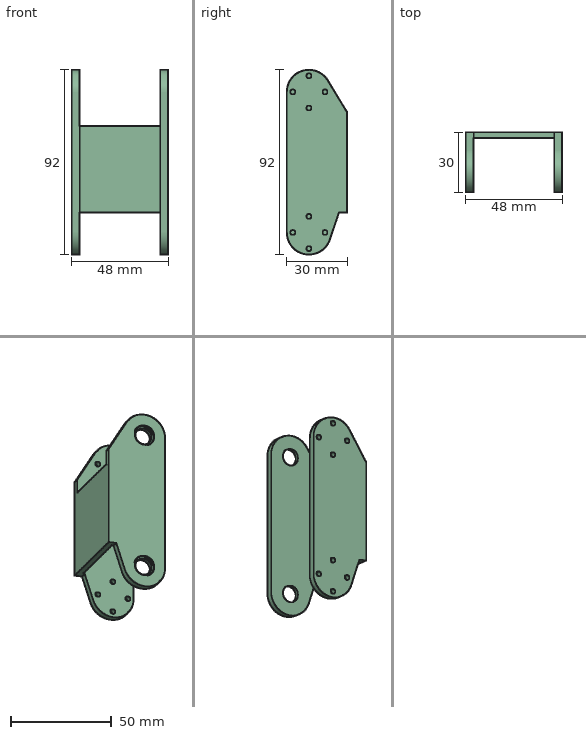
import cadquery as cq
import math

width = 48.0
depth = 30.0
height = 92.0

plate_thickness = 4.0
end_radius = 11.0
shoulder_inset = 21.0
foot_length = 4.0

web_thickness = 3.0
web_bottom_inset = shoulder_inset
web_top_inset = 28.0

bore_diameter = 8.5
counterbore_diameter = 10.5
counterbore_depth = 1.5

screw_diameter = 2.5
screw_circle_diameter = 16.0
screw_count = 4

pivot_z = height / 2 - end_radius
front_y = -end_radius
rear_y = front_y + depth
outer_x = width / 2
inner_x = outer_x - plate_thickness
corner_top_z = height / 2 - shoulder_inset
corner_bottom_z = -height / 2 + shoulder_inset


def tangent_point(corner_y, corner_z, center_z, side):
    """Point where a line from the corner touches the end arc; side is +1 (top) or -1 (bottom)."""
    offset_z = corner_z - center_z
    distance = math.hypot(corner_y, offset_z)
    angle = math.atan2(offset_z, corner_y) + side * math.acos(end_radius / distance)
    return (end_radius * math.cos(angle), center_z + end_radius * math.sin(angle))


def side_plate(start_x):
    """Plate with rounded ends and sloped rear flanks, extending from start_x towards +X."""
    foot_y = rear_y - foot_length
    top_tangent = tangent_point(rear_y, corner_top_z, pivot_z, 1)
    bottom_tangent = tangent_point(foot_y, corner_bottom_z, -pivot_z, -1)
    return (
        cq.Workplane("YZ", origin=(start_x, 0, 0))
        .moveTo(front_y, -pivot_z)
        .lineTo(front_y, pivot_z)
        .threePointArc((0, height / 2), top_tangent)
        .lineTo(rear_y, corner_top_z)
        .lineTo(rear_y, corner_bottom_z)
        .lineTo(foot_y, corner_bottom_z)
        .lineTo(*bottom_tangent)
        .threePointArc((0, -height / 2), (front_y, -pivot_z))
        .close()
        .extrude(plate_thickness)
    )


def web():
    """Flat panel flush with the rear edges of the plates and reaching halfway into each plate."""
    bottom_z = -height / 2 + web_bottom_inset
    web_height = height - web_bottom_inset - web_top_inset
    return cq.Workplane("XY").box(
        width - plate_thickness, web_thickness, web_height, centered=(True, False, False)
    ).translate((0, rear_y - web_thickness, bottom_z))


def bearing_hole(center_z):
    """Through bore with a counterbore opening on the outer face of the -X plate."""
    face = cq.Workplane("YZ", origin=(-outer_x, 0, center_z))
    bore = face.circle(bore_diameter / 2).extrude(plate_thickness)
    counterbore = face.circle(counterbore_diameter / 2).extrude(counterbore_depth)
    return bore.union(counterbore)


def screw_holes(center_z):
    """Ring of holes through the +X plate."""
    return (
        cq.Workplane("YZ", origin=(inner_x, 0, center_z))
        .polarArray(screw_circle_diameter / 2, 0, 360, screw_count)
        .circle(screw_diameter / 2)
        .extrude(plate_thickness)
    )


result = side_plate(-outer_x).union(side_plate(inner_x)).union(web())
for center_z in (-pivot_z, pivot_z):
    result = result.cut(bearing_hole(center_z))
    result = result.cut(screw_holes(center_z))